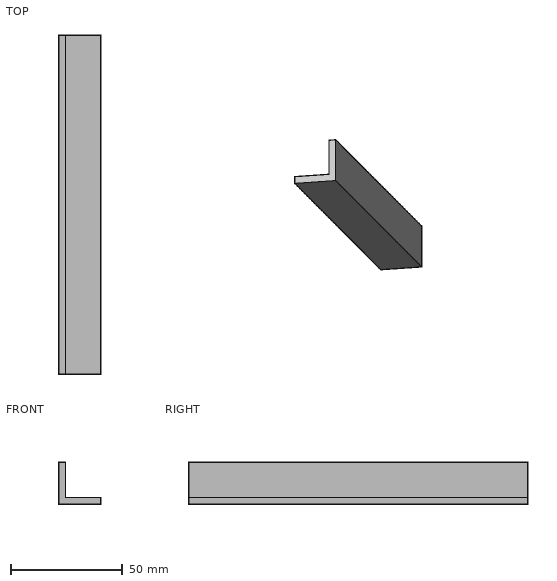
import cadquery as cq

length = 152.4
leg = 19.0
thickness = 3.2

section = [
    (0, 0),
    (leg, 0),
    (leg, thickness),
    (thickness, thickness),
    (thickness, leg),
    (0, leg),
]

result = cq.Workplane("XZ").polyline(section).close().extrude(-length)